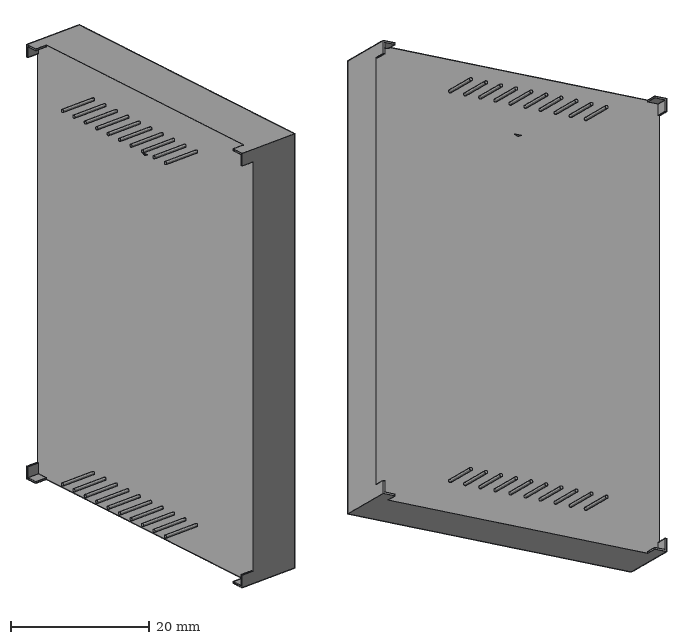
import cadquery as cq

width = 47.8
height = 69.85
total_depth = 14.0
body_depth = 8.0

tab_depth = 2.0
tab_leg = 2.0
tab_wall = 0.3

pin_diameter = 0.5
pins_per_row = 10
row_length = 22.85
pin_pitch = row_length / (pins_per_row - 1)
row_spacing = 60.05

arrow_width = 1.2
arrow_height = 0.3
arrow_top_z = 25.5
arrow_relief = 0.1

front_y = total_depth / 2
back_y = front_y - body_depth
pin_length = total_depth - body_depth


def block(x_size, y_size, z_size, center):
    return cq.Workplane("XY").box(x_size, y_size, z_size).translate(center)


def corner_tab(x_side, z_side):
    """L-shaped wall flush with the two outer sides of one corner."""
    y = back_y - tab_depth / 2
    upright = block(
        tab_wall, tab_depth, tab_leg,
        (x_side * (width - tab_wall) / 2, y, z_side * (height - tab_leg) / 2),
    )
    shelf = block(
        tab_leg, tab_depth, tab_wall,
        (x_side * (width - tab_leg) / 2, y, z_side * (height - tab_wall) / 2),
    )
    return upright.union(shelf)


def pins():
    """Both pin rows, running from the back face toward -Y."""
    return (
        cq.Workplane("XZ", origin=(0, back_y, 0))
        .rarray(pin_pitch, row_spacing, pins_per_row, 2)
        .circle(pin_diameter / 2)
        .extrude(pin_length)
    )


def arrow():
    """Flat triangle raised on the back face."""
    return (
        cq.Workplane("XZ", origin=(0, back_y, 0))
        .moveTo(-arrow_width / 2, arrow_top_z)
        .lineTo(arrow_width / 2, arrow_top_z)
        .lineTo(0, arrow_top_z - arrow_height)
        .close()
        .extrude(arrow_relief)
    )


result = block(width, body_depth, height, (0, front_y - body_depth / 2, 0))
for x_side in (-1, 1):
    for z_side in (-1, 1):
        result = result.union(corner_tab(x_side, z_side))
result = result.union(pins()).union(arrow())